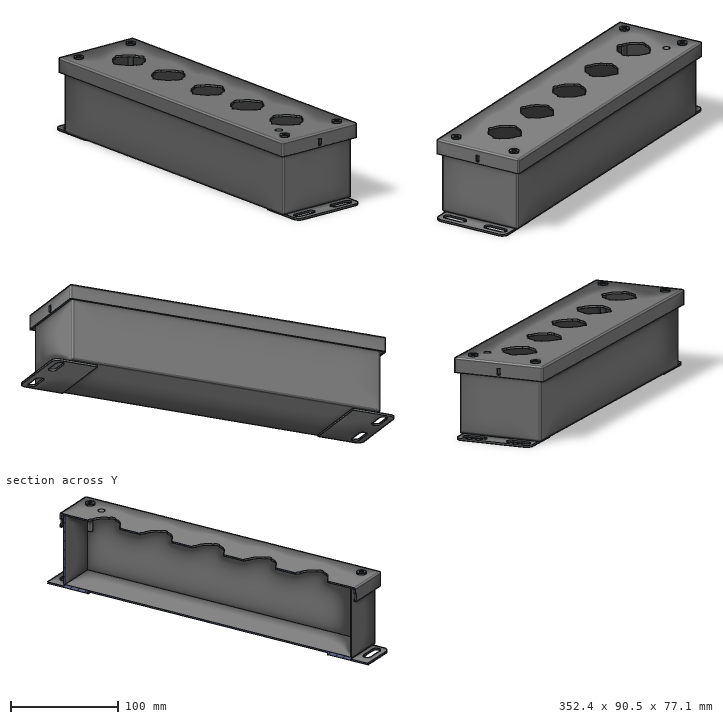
import cadquery as cq

SHEET = 1.9
BEND_RADIUS = 1.6

FOOT_SPAN = 352.43
FOOT_LENGTH = 44.45
FOOT_WIDTH = 76.2
FOOT_CORNER_RADIUS = 6.35
FOOT_SLOT_WIDTH = 7.94
FOOT_SLOT_LENGTH = 23.8
FOOT_SLOT_INSET = 9.525
FOOT_SLOT_PITCH = 44.45

BOX_LENGTH = 317.5
BOX_WIDTH = 82.55
LID_LENGTH = 325.44
LID_WIDTH = 90.49
LID_HEIGHT = 14.45

OVERALL_HEIGHT = 77.1
SCREW_HEAD_HEIGHT = 1.6
LID_TOP = OVERALL_HEIGHT - SCREW_HEAD_HEIGHT
LID_UNDERSIDE = LID_TOP - SHEET
LID_BOTTOM = LID_TOP - LID_HEIGHT

BUTTON_COUNT = 5
BUTTON_PITCH = 57.15
BUTTON_DIAMETER = 31.0
NOTCH_COUNT = 4
NOTCH_DIAMETER = 8.05
NOTCH_OFFSET = 13.3

SCREW_PITCH_X = 298.5
SCREW_PITCH_Y = 63.5
SCREW_HEAD_DIAMETER = 9.1
SCREW_FLAT_DIAMETER = 6.2
SCREW_BEVEL_DROP = 0.2
SCREW_SHANK_DIAMETER = 5.2
SCREW_SHANK_LENGTH = 25.0
SOCKET_SIDES = 6
SOCKET_ACROSS_CORNERS = 4.2
SOCKET_DEPTH = 1.2

PRY_SLOT_WIDTH = 3.2
PRY_SLOT_HEIGHT = 6.4
PRY_SLOT_TOP_DEPTH = 6.2

STUD_DIAMETER = 6.76
STUD_X = 132.5
STUD_Y = -24.7


def make_foot():
    """Flat plate at the +X end with rounded outer corners and two slots."""
    plate = (
        cq.Workplane("XY")
        .center((FOOT_SPAN - FOOT_LENGTH) / 2, 0)
        .rect(FOOT_LENGTH, FOOT_WIDTH)
        .extrude(SHEET)
        .edges("|Z and >X")
        .fillet(FOOT_CORNER_RADIUS)
    )
    slots = (
        cq.Workplane("XY", origin=(FOOT_SPAN / 2 - FOOT_SLOT_INSET, 0, 0))
        .rarray(1, FOOT_SLOT_PITCH, 1, 2)
        .slot2D(FOOT_SLOT_LENGTH, FOOT_SLOT_WIDTH, 90)
        .extrude(SHEET)
    )
    return plate.cut(slots)


def make_box():
    """Open-topped box, standing on a mounting foot at each end."""
    box_height = LID_UNDERSIDE - SHEET
    shell = (
        cq.Workplane("XY", origin=(0, 0, SHEET))
        .rect(BOX_LENGTH, BOX_WIDTH)
        .extrude(box_height)
        .edges("|Z or <Z")
        .fillet(BEND_RADIUS)
    )
    cavity = (
        cq.Workplane("XY", origin=(0, 0, 2 * SHEET))
        .rect(BOX_LENGTH - 2 * SHEET, BOX_WIDTH - 2 * SHEET)
        .extrude(box_height)
    )
    foot = make_foot()
    return shell.cut(cavity).union(foot).union(foot.mirror("YZ"))


def make_lid_shell():
    """Shallow tray, open downward, that overhangs the box on all sides."""
    blank = (
        cq.Workplane("XY", origin=(0, 0, LID_BOTTOM))
        .rect(LID_LENGTH, LID_WIDTH)
        .extrude(LID_HEIGHT)
        .edges("|Z or >Z")
        .fillet(BEND_RADIUS)
    )
    inside = (
        cq.Workplane("XY", origin=(0, 0, LID_BOTTOM))
        .rect(LID_LENGTH - 2 * SHEET, LID_WIDTH - 2 * SHEET)
        .extrude(LID_HEIGHT - SHEET)
    )
    return blank.cut(inside)


def make_button_opening(center_x):
    """Cutter for one push-button opening through the lid."""
    base = cq.Workplane("XY", origin=(center_x, 0, LID_UNDERSIDE))
    bore = base.circle(BUTTON_DIAMETER / 2).extrude(SHEET)
    notches = (
        base.polarArray(NOTCH_OFFSET, 0, 360, NOTCH_COUNT)
        .circle(NOTCH_DIAMETER / 2)
        .extrude(SHEET)
    )
    return bore.union(notches)


def make_pry_slots():
    """Cutter along X for the flat-topped, round-bottomed slot in both lid ends."""
    radius = PRY_SLOT_WIDTH / 2
    straight_height = PRY_SLOT_HEIGHT - radius
    return (
        cq.Workplane("YZ", origin=(0, 0, LID_TOP - PRY_SLOT_TOP_DEPTH))
        .moveTo(-radius, 0)
        .lineTo(radius, 0)
        .lineTo(radius, -straight_height)
        .threePointArc((0, -PRY_SLOT_HEIGHT), (-radius, -straight_height))
        .close()
        .extrude(LID_LENGTH / 2, both=True)
    )


def make_screws():
    """Four lid screws: bevelled, socketed heads above the lid and shanks below it."""
    bevel_width = (SCREW_HEAD_DIAMETER - SCREW_FLAT_DIAMETER) / 2
    on_lid = cq.Workplane("XY", origin=(0, 0, LID_TOP)).rarray(SCREW_PITCH_X, SCREW_PITCH_Y, 2, 2)
    heads = (
        on_lid.circle(SCREW_HEAD_DIAMETER / 2)
        .extrude(SCREW_HEAD_HEIGHT)
        .faces(">Z")
        .edges()
        .chamfer(SCREW_BEVEL_DROP, bevel_width)
    )
    shanks = on_lid.circle(SCREW_SHANK_DIAMETER / 2).extrude(-SHEET - SCREW_SHANK_LENGTH)
    sockets = (
        cq.Workplane("XY", origin=(0, 0, OVERALL_HEIGHT))
        .rarray(SCREW_PITCH_X, SCREW_PITCH_Y, 2, 2)
        .polygon(SOCKET_SIDES, SOCKET_ACROSS_CORNERS)
        .extrude(-SOCKET_DEPTH)
    )
    return heads.union(shanks).cut(sockets)


def make_stud():
    """Round stud as thick as the lid sheet."""
    base = cq.Workplane("XY", origin=(STUD_X, STUD_Y, LID_UNDERSIDE))
    return base.circle(STUD_DIAMETER / 2).extrude(SHEET)


def make_lid(stud):
    """Lid with its screws, button openings, pry slots and a hole that fits the stud."""
    lid = make_lid_shell().cut(make_pry_slots()).cut(stud)
    for index in range(BUTTON_COUNT):
        center_x = (index - (BUTTON_COUNT - 1) / 2) * BUTTON_PITCH
        lid = lid.cut(make_button_opening(center_x))
    return lid.union(make_screws())


box = make_box()
stud = make_stud()
lid = make_lid(stud)

result = cq.Compound.makeCompound([box.solids().val(), lid.solids().val(), stud.val()])